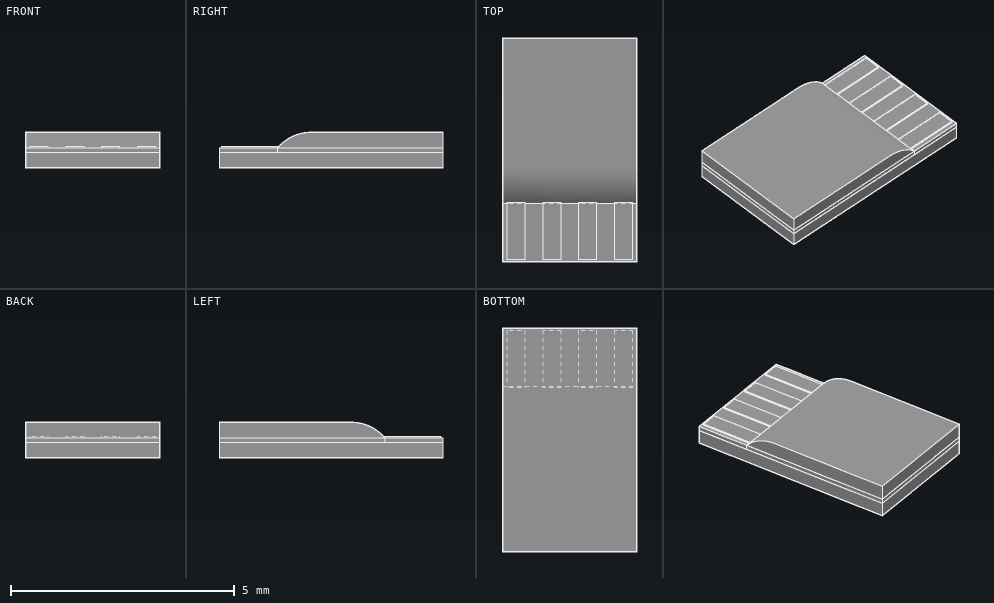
import cadquery as cq
import math

width = 3.0
length = 5.0
front = -length / 2
back = length / 2

base_height = 0.34
layer_height = 0.11
cover_height = 0.35
layer_top = base_height + layer_height
cover_top = layer_top + cover_height

ledge_length = 1.3
ledge_end = front + ledge_length

nose_radius = 1.0
nose_run = math.sqrt(nose_radius**2 - (nose_radius - cover_height) ** 2)
nose_center_y = ledge_end + nose_run
nose_center_z = cover_top - nose_radius

pad_count = 4
pad_width = 0.4
pad_pitch = 0.8
pad_height = 0.03
pad_front_margin = 0.05
pad_front = front + pad_front_margin
pad_top = layer_top + pad_height


def nose_y(z):
    """Y of the rounded front of the cover at height z."""
    return nose_center_y - math.sqrt(nose_radius**2 - (z - nose_center_z) ** 2)


def plate(y_start, y_end, z_bottom, height):
    """Full-width rectangular plate."""
    return (
        cq.Workplane("XY")
        .box(width, y_end - y_start, height, centered=(True, False, False))
        .translate((0, y_start, z_bottom))
    )


def extrude_across(profile, x_size):
    """Extrude a YZ profile symmetrically about X = 0."""
    return profile.extrude(x_size / 2, both=True)


def make_cover():
    """Block with a flat top that curves down to the ledge."""
    nose_middle_z = (layer_top + cover_top) / 2
    profile = (
        cq.Workplane("YZ")
        .moveTo(ledge_end, layer_top)
        .threePointArc((nose_y(nose_middle_z), nose_middle_z), (nose_center_y, cover_top))
        .lineTo(back, cover_top)
        .lineTo(back, layer_top)
        .close()
    )
    return extrude_across(profile, width)


def make_pad(x_center):
    """Thin contact pad whose rear end fits the curve of the cover."""
    pad_middle_z = layer_top + pad_height / 2
    profile = (
        cq.Workplane("YZ")
        .moveTo(pad_front, layer_top)
        .lineTo(ledge_end, layer_top)
        .threePointArc((nose_y(pad_middle_z), pad_middle_z), (nose_y(pad_top), pad_top))
        .lineTo(pad_front, pad_top)
        .close()
    )
    return extrude_across(profile, pad_width).translate((x_center, 0, 0))


base = plate(front, back, 0, base_height)
front_layer = plate(front, ledge_end, base_height, layer_height)
rear_layer = plate(ledge_end, back, base_height, layer_height)
cover = make_cover()

pads = []
for index in range(pad_count):
    pad_x = (index - (pad_count - 1) / 2) * pad_pitch
    pads.append(make_pad(pad_x).val())

result = cq.Compound.makeCompound(
    [base.val(), front_layer.val(), rear_layer.val(), cover.val(), *pads]
)